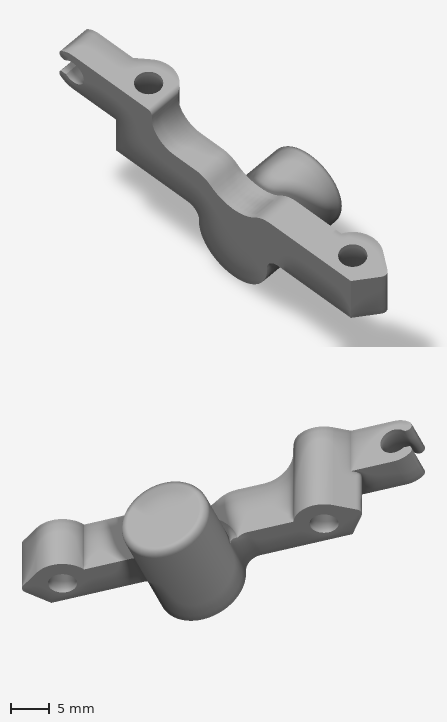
import cadquery as cq
import math

LENGTH = 54.1
DEPTH = 14.8
HEIGHT = 21.45

BAR_THICKNESS = 5.05
BAR_BOTTOM = 8.5
BAR_TOP = 15.95

BOSS_RADIUS = 6.0
BOSS_X = 30.7
BOSS_END_FILLET = 1.0
BOSS_ROOT_CHAMFER = 1.0
NECK_FILLET = 2.0

DIP_BOTTOM = 13.55
DIP_RADIUS = 6.0
DIP_SHOULDER_RADIUS = 4.0

BLOCK_END_X = 16.35
BLOCK_CORNER_RADIUS = 0.75
STEP_RADIUS = 4.0

CLIP_OUTER_RADIUS = 3.35
CLIP_BORE_RADIUS = 1.9
CLIP_X = 2.45
LOWER_LIP_DROP = 1.4

LUG_RADIUS = 4.0
LUG_HOLE_RADIUS = 1.9
LUG_Y = 3.3
LUG_TIP_RADIUS = 1.0
LUG_FRONT_OFFSET = 4.15
LEFT_LUG_X = 12.7
LUG_TILT = math.atan2(3, 4)

sin_tilt = math.sin(LUG_TILT)
cos_tilt = math.cos(LUG_TILT)
tip_x = LUG_RADIUS * sin_tilt + LUG_FRONT_OFFSET * cos_tilt
tip_y = LUG_RADIUS * cos_tilt - LUG_FRONT_OFFSET * sin_tilt
tip_reach = tip_x - LUG_TIP_RADIUS * (sin_tilt + cos_tilt - 1)
front_corner_x = (LUG_FRONT_OFFSET - LUG_Y * sin_tilt) / cos_tilt
right_lug_x = LENGTH - tip_reach

BOSS_Z = BOSS_RADIUS


def extrude_back(outline, depth):
    """Extrude an XZ outline from the front face toward +Y."""
    return outline.extrude(-depth)


def lug(x, side):
    """Full-height lug whose pointed end faces side (+1 right, -1 left)."""
    pointed_end = (
        cq.Workplane("XY")
        .moveTo(x, 0)
        .lineTo(x + side * front_corner_x, 0)
        .lineTo(x + side * tip_x, LUG_Y + tip_y)
        .lineTo(x + side * LUG_RADIUS * sin_tilt, LUG_Y + LUG_RADIUS * cos_tilt)
        .lineTo(x, LUG_Y)
        .close()
        .extrude(HEIGHT)
    )
    tip_selector = ">X" if side > 0 else "<X"
    pointed_end = pointed_end.edges("|Z").edges(tip_selector).fillet(LUG_TIP_RADIUS)
    back_round = cq.Workplane("XY").center(x, LUG_Y).circle(LUG_RADIUS).extrude(HEIGHT)
    inner_edge = x - side * LUG_RADIUS
    outer_edge = x + side * LUG_RADIUS * sin_tilt
    trim = (
        cq.Workplane("XY")
        .moveTo(inner_edge, 0)
        .lineTo(x, 0)
        .lineTo(x, LUG_Y)
        .lineTo(outer_edge, LUG_Y + LUG_RADIUS * cos_tilt)
        .lineTo(outer_edge, LUG_Y + LUG_RADIUS)
        .lineTo(inner_edge, LUG_Y + LUG_RADIUS)
        .close()
        .extrude(HEIGHT)
    )
    return pointed_end.union(back_round.intersect(trim))


def side_outline():
    """Outline of bar, raised block and boss, running clockwise from the lower left."""
    centre_distance = DIP_RADIUS + DIP_SHOULDER_RADIUS
    centre_rise = centre_distance - (BAR_TOP - DIP_BOTTOM)
    centre_run = math.sqrt(centre_distance**2 - centre_rise**2)
    meet_run = centre_run * DIP_RADIUS / centre_distance
    meet_z = DIP_BOTTOM + DIP_RADIUS - centre_rise * DIP_RADIUS / centre_distance
    neck_left = BOSS_X - BOSS_RADIUS
    neck_right = BOSS_X + BOSS_RADIUS
    return (
        cq.Workplane("XZ")
        .moveTo(0, BAR_BOTTOM)
        .lineTo(0, HEIGHT)
        .lineTo(BLOCK_END_X - BLOCK_CORNER_RADIUS, HEIGHT)
        .tangentArcPoint((BLOCK_END_X, HEIGHT - BLOCK_CORNER_RADIUS), relative=False)
        .lineTo(BLOCK_END_X, BAR_TOP + STEP_RADIUS)
        .tangentArcPoint((BLOCK_END_X + STEP_RADIUS, BAR_TOP), relative=False)
        .lineTo(BOSS_X - centre_run, BAR_TOP)
        .tangentArcPoint((BOSS_X - meet_run, meet_z), relative=False)
        .threePointArc((BOSS_X, DIP_BOTTOM), (BOSS_X + meet_run, meet_z))
        .tangentArcPoint((BOSS_X + centre_run, BAR_TOP), relative=False)
        .lineTo(LENGTH, BAR_TOP)
        .lineTo(LENGTH, BAR_BOTTOM)
        .lineTo(neck_right + NECK_FILLET, BAR_BOTTOM)
        .tangentArcPoint((neck_right, BAR_BOTTOM - NECK_FILLET), relative=False)
        .lineTo(neck_right, BOSS_Z)
        .threePointArc((BOSS_X, 0), (neck_left, BOSS_Z))
        .lineTo(neck_left, BAR_BOTTOM - NECK_FILLET)
        .tangentArcPoint((neck_left - NECK_FILLET, BAR_BOTTOM), relative=False)
        .close()
    )


def clip_arm():
    """Arm with a round open-ended bore between two rounded lips."""
    clip_z = HEIGHT - CLIP_OUTER_RADIUS
    lip_radius = (CLIP_OUTER_RADIUS - CLIP_BORE_RADIUS) / 2
    lip_orbit = CLIP_BORE_RADIUS + lip_radius
    lip_angle = math.acos((lip_radius - CLIP_X) / lip_orbit)

    def polar(radius, angle):
        return (CLIP_X + radius * math.cos(angle), clip_z + radius * math.sin(angle))

    outer_middle = (math.pi / 2 + lip_angle) / 2
    upper_outer = polar(CLIP_OUTER_RADIUS, lip_angle)
    lower_outer = polar(CLIP_OUTER_RADIUS, -lip_angle)
    outline = (
        cq.Workplane("XZ")
        .moveTo(LEFT_LUG_X, HEIGHT)
        .lineTo(CLIP_X, HEIGHT)
        .threePointArc(polar(CLIP_OUTER_RADIUS, outer_middle), upper_outer)
        .tangentArcPoint(polar(CLIP_BORE_RADIUS, lip_angle), relative=False)
        .threePointArc(polar(CLIP_BORE_RADIUS, 0), polar(CLIP_BORE_RADIUS, -lip_angle))
        .tangentArcPoint(lower_outer, relative=False)
        .threePointArc(polar(CLIP_OUTER_RADIUS, -outer_middle), polar(CLIP_OUTER_RADIUS, -math.pi / 2))
        .lineTo(LEFT_LUG_X, clip_z - CLIP_OUTER_RADIUS)
        .close()
    )
    mouth = cq.Workplane("XY").box(CLIP_X, BAR_THICKNESS, LOWER_LIP_DROP, centered=False)
    mouth = mouth.translate((0, 0, clip_z - LOWER_LIP_DROP))
    return extrude_back(outline, BAR_THICKNESS).cut(mouth)


def boss_with_root():
    """Boss with a rounded end and a conical root against the back of the bar."""
    boss = extrude_back(cq.Workplane("XZ").center(BOSS_X, BOSS_Z).circle(BOSS_RADIUS), DEPTH)
    boss = boss.faces(">Y").edges().fillet(BOSS_END_FILLET)
    root = cq.Solid.makeCone(
        BOSS_RADIUS + BOSS_ROOT_CHAMFER,
        BOSS_RADIUS,
        BOSS_ROOT_CHAMFER,
        pnt=cq.Vector(BOSS_X, BAR_THICKNESS, BOSS_Z),
        dir=cq.Vector(0, 1, 0),
    )
    root = cq.Workplane(root).intersect(extrude_back(side_outline(), DEPTH))
    return boss.union(root)


bar_span = right_lug_x - LEFT_LUG_X
plan = cq.Workplane("XY").box(bar_span, BAR_THICKNESS, HEIGHT, centered=False)
plan = plan.translate((LEFT_LUG_X, 0, 0))
plan = plan.union(lug(LEFT_LUG_X, -1)).union(lug(right_lug_x, 1))

body = extrude_back(side_outline(), DEPTH).intersect(plan)
body = body.union(clip_arm()).union(boss_with_root())

lug_holes = (
    cq.Workplane("XY")
    .pushPoints([(LEFT_LUG_X, LUG_Y), (right_lug_x, LUG_Y)])
    .circle(LUG_HOLE_RADIUS)
    .extrude(HEIGHT)
)
result = body.cut(lug_holes)